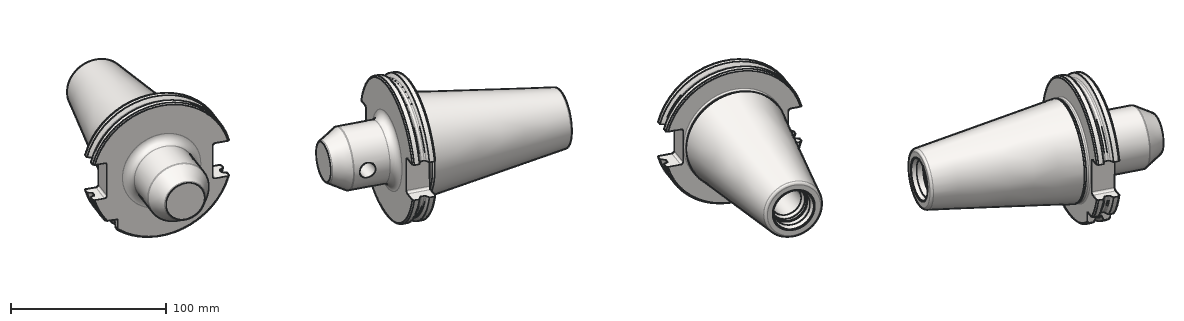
import cadquery as cq
import math

total_length = 164.6

gauge_radius = 34.9
gauge_x = 101.7
taper_slope = 7 / 48
shank_edge_round = 1.6

relief_start_x = 100.9
relief_radius = 34.2
relief_ramp = 1.5
relief_corner_radius = 1.0

flange_x = 104.9
flange_width = 16.0
flange_radius = 48.7
flange_chamfer = 1.0
groove_width = 6.9
groove_depth = 3.1
groove_half_angle = math.radians(30)
groove_floor_fillet = 1.2

slot_width = 25.8
slot_floor_left = 35.4
slot_floor_right = 37.5
slot_fillet = 1.6
notch_offset = 30.0
notch_fillet = 1.0

nose_radius = 21.0
nose_fillet = 6.0
nose_cone_x = 151.8
nose_shoulder_round = 1.0
nose_cone_angle = math.radians(30)
nose_tip_chamfer = 0.8

bore_mouth_radius = 14.6
bore_rim_radius = 14.0
bore_rim_depth = 0.3
pilot_radius = 12.5
pilot_start = 3.3
pilot_end = 7.7
recess_radius = 12.0
recess_end = 10.9
thread_entry_radius = 11.5
core_radius = 10.4
core_start = 13.3
core_end = 59.3
drill_half_angle = math.radians(59)

screw_radius = 5.5
screw_from_tip = 22.5


def body():
    """Revolve the outer outline from the shank end to the nose tip."""
    shank_end_radius = gauge_radius - gauge_x * taper_slope
    relief_edge_radius = gauge_radius - (gauge_x - relief_start_x) * taper_slope
    flange_end_x = flange_x + flange_width
    chamfer_radius = flange_radius - flange_chamfer
    arc_middle = math.cos(math.pi / 4)
    tip_cone_x = total_length - nose_tip_chamfer
    tip_cone_radius = nose_radius - (tip_cone_x - nose_cone_x) * math.tan(nose_cone_angle)
    end_round_start = shank_end_radius - shank_edge_round
    end_round_stop = shank_end_radius + shank_edge_round * taper_slope

    outline = (
        cq.Workplane("XY")
        .lineTo(0, end_round_start)
        .threePointArc(
            (shank_edge_round * (1 - arc_middle), end_round_start + shank_edge_round * arc_middle),
            (shank_edge_round, end_round_stop),
        )
        .lineTo(relief_start_x, relief_edge_radius)
        .lineTo(relief_start_x + relief_ramp, relief_radius)
        .lineTo(flange_x - relief_corner_radius, relief_radius)
        .threePointArc(
            (
                flange_x - relief_corner_radius * (1 - arc_middle),
                relief_radius + relief_corner_radius * (1 - arc_middle),
            ),
            (flange_x, relief_radius + relief_corner_radius),
        )
        .lineTo(flange_x, chamfer_radius)
        .lineTo(flange_x + flange_chamfer, flange_radius)
        .lineTo(flange_end_x - flange_chamfer, flange_radius)
        .lineTo(flange_end_x, chamfer_radius)
        .lineTo(flange_end_x, nose_radius + nose_fillet)
        .threePointArc(
            (
                flange_end_x + nose_fillet * (1 - arc_middle),
                nose_radius + nose_fillet * (1 - arc_middle),
            ),
            (flange_end_x + nose_fillet, nose_radius),
        )
        .lineTo(nose_cone_x, nose_radius)
        .lineTo(tip_cone_x, tip_cone_radius)
        .lineTo(total_length, tip_cone_radius - nose_tip_chamfer)
        .lineTo(total_length, 0)
        .close()
    )
    turned = outline.revolve(360, (0, 0, 0), (1, 0, 0))
    shoulder = cq.selectors.BoxSelector(
        (nose_cone_x - nose_shoulder_round, -flange_radius, -flange_radius),
        (nose_cone_x + nose_shoulder_round, flange_radius, flange_radius),
    )
    return turned.edges(shoulder).fillet(nose_shoulder_round)


def v_groove():
    """Ring with a 60 degree V section and a rounded flat floor."""
    middle_x = flange_x + flange_width / 2
    floor_radius = flange_radius - groove_depth
    mouth_half = groove_width / 2
    floor_half = mouth_half - groove_depth * math.tan(groove_half_angle)
    outer_radius = flange_radius + groove_depth
    outer_half = mouth_half + groove_depth * math.tan(groove_half_angle)
    section = (
        cq.Sketch()
        .polygon([
            (middle_x - outer_half, outer_radius),
            (middle_x - floor_half, floor_radius),
            (middle_x + floor_half, floor_radius),
            (middle_x + outer_half, outer_radius),
            (middle_x - outer_half, outer_radius),
        ])
        .vertices("<Y")
        .fillet(groove_floor_fillet)
    )
    return cq.Workplane("XY").placeSketch(section).revolve(360, (0, 0, 0), (1, 0, 0))


def flange_cutter(y_floor, y_side, z_bottom, z_top):
    """Block through the flange width, from y_floor outwards on the y_side (+1 or -1)."""
    return (
        cq.Workplane("XY")
        .box(flange_width, flange_radius, z_top - z_bottom, centered=(False, True, False))
        .translate((flange_x, y_side * (y_floor + flange_radius / 2), z_bottom))
    )


def drive_slot(y_floor, y_side):
    inner_edges = "|X and <Y" if y_side > 0 else "|X and >Y"
    block = flange_cutter(y_floor, y_side, -slot_width / 2, slot_width / 2)
    return block.edges(inner_edges).fillet(slot_fillet)


def orientation_notch():
    block = flange_cutter(notch_offset, -1, -flange_radius, -notch_offset)
    return block.edges("|X and >Y and >Z").fillet(notch_fillet)


def pull_stud_bore():
    """Stepped bore from the shank end, finishing in a drill point."""
    drill_tip_x = core_end + core_radius / math.tan(drill_half_angle)
    outline = cq.Workplane("XY").polyline([
        (0, 0),
        (0, bore_mouth_radius),
        (bore_rim_depth, bore_rim_radius),
        (pilot_start, pilot_radius),
        (pilot_end, pilot_radius),
        (pilot_end + pilot_radius - recess_radius, recess_radius),
        (recess_end, recess_radius),
        (recess_end + recess_radius - thread_entry_radius, thread_entry_radius),
        (core_start, core_radius),
        (core_end, core_radius),
        (drill_tip_x, 0),
    ])
    return outline.close().revolve(360, (0, 0, 0), (1, 0, 0))


def screw_hole():
    """Radial hole from the +Y side of the nose down to the axis."""
    return (
        cq.Workplane("XZ")
        .center(total_length - screw_from_tip, 0)
        .circle(screw_radius)
        .extrude(-(nose_radius + screw_radius))
    )


result = (
    body()
    .cut(v_groove())
    .cut(drive_slot(slot_floor_left, 1))
    .cut(drive_slot(slot_floor_right, -1))
    .cut(orientation_notch())
    .cut(pull_stud_bore())
    .cut(screw_hole())
)